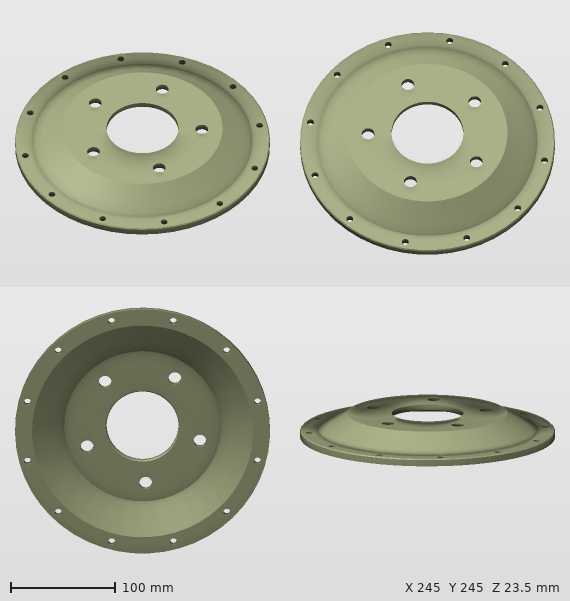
import cadquery as cq
import math

outer_radius = 122.5
total_height = 23.5
flange_thickness = 7.0
web_thickness = 6.0
edge_chamfer = 1.0

cone_base_radius = 105.5
cone_top_radius = 77.0
bore_radius = 34.5
bore_chamfer = 1.0

bolt_count = 5
bolt_circle_radius = 57.0
bolt_hole_diameter = 12.2
rim_hole_count = 12
rim_circle_radius = 114.5
rim_hole_diameter = 6.5

cone_rise = total_height - flange_thickness
cone_run = cone_base_radius - cone_top_radius
slope_length = math.hypot(cone_rise, cone_run)
wall_offset = web_thickness * slope_length / cone_rise
run_per_height = cone_run / cone_rise
ceiling_height = total_height - web_thickness


def inner_cone_radius(height):
    outer_cone_radius = cone_base_radius + (flange_thickness - height) * run_per_height
    return outer_cone_radius - wall_offset


def make_dish():
    profile = (
        cq.Workplane("XZ")
        .moveTo(bore_radius, total_height)
        .lineTo(cone_top_radius, total_height)
        .lineTo(cone_base_radius, flange_thickness)
        .lineTo(outer_radius - edge_chamfer, flange_thickness)
        .lineTo(outer_radius, flange_thickness - edge_chamfer)
        .lineTo(outer_radius, 0)
        .lineTo(inner_cone_radius(0), 0)
        .lineTo(inner_cone_radius(ceiling_height), ceiling_height)
        .lineTo(bore_radius + bore_chamfer, ceiling_height)
        .lineTo(bore_radius, ceiling_height + bore_chamfer)
        .close()
    )
    return profile.revolve(360, (0, 0, 0), (0, 1, 0))


def hole_circle(count, circle_radius, hole_diameter):
    return (
        cq.Workplane("XY")
        .polarArray(circle_radius, 90, 360, count)
        .circle(hole_diameter / 2)
        .extrude(total_height)
    )


bolt_holes = hole_circle(bolt_count, bolt_circle_radius, bolt_hole_diameter)
rim_holes = hole_circle(rim_hole_count, rim_circle_radius, rim_hole_diameter)
result = make_dish().cut(bolt_holes).cut(rim_holes)